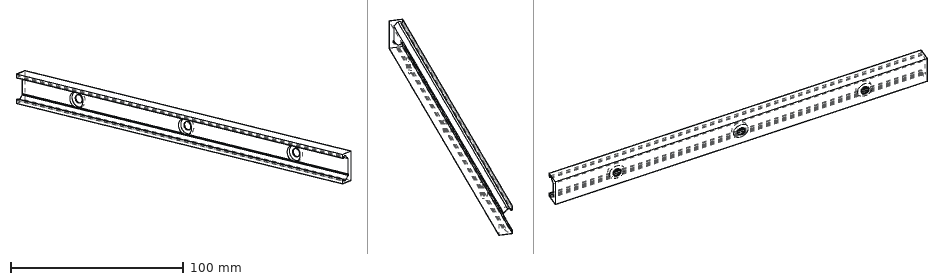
import cadquery as cq

length = 240.0
depth = 8.2
height = 18.0

web_thickness = 3.0
flange_thickness = 1.5
lip_thickness = 1.0
lip_height = 1.2
ramp_size = 2.5
lip_radius = 0.7

groove_width = 0.7
groove_depth = 0.5

hole_count = 3
hole_diameter = 5.0
counterbore_diameter = 9.5
counterbore_depth = 2.2
hole_pitch = length / hole_count

front_y = -depth / 2
back_y = depth / 2
web_y = back_y - web_thickness
lip_y = front_y + lip_thickness
outer_z = height / 2
inner_z = outer_z - flange_thickness
lip_z = inner_z - lip_height
ramp_z = inner_z - ramp_size


def make_rail():
    """Extrude the C section, with ramps between web and flanges and rounded lips at the mouth."""
    section = (
        cq.Workplane("YZ")
        .moveTo(back_y, outer_z)
        .lineTo(front_y, outer_z)
        .lineTo(front_y, lip_z + lip_radius)
        .radiusArc((front_y + lip_radius, lip_z), -lip_radius)
        .lineTo(lip_y, lip_z)
        .lineTo(lip_y, inner_z)
        .lineTo(web_y - ramp_size, inner_z)
        .lineTo(web_y, ramp_z)
        .lineTo(web_y, 0)
        .lineTo(back_y, 0)
        .close()
    )
    upper_half = section.extrude(length / 2, both=True)
    return upper_half.union(upper_half.mirror("XY")).clean()


def cut_groove(rail):
    """Cut the narrow groove where the lower ramp meets the web face."""
    groove = cq.Workplane("XY").box(length, groove_depth, groove_width, centered=(True, False, False))
    return rail.cut(groove.translate((0, web_y, -ramp_z)))


def cut_mounting_holes(rail):
    """Cut a row of counterbored holes through the web, entered from the open side."""
    web_face = cq.Workplane("XZ", origin=(0, web_y, 0))
    centers = web_face.rarray(hole_pitch, 2.5, hole_count, 1)
    holes = centers.circle(hole_diameter / 2).extrude(-web_thickness)
    counterbores = centers.circle(counterbore_diameter / 2).extrude(-counterbore_depth)
    return rail.cut(holes).cut(counterbores)


result = cut_mounting_holes(cut_groove(make_rail()))